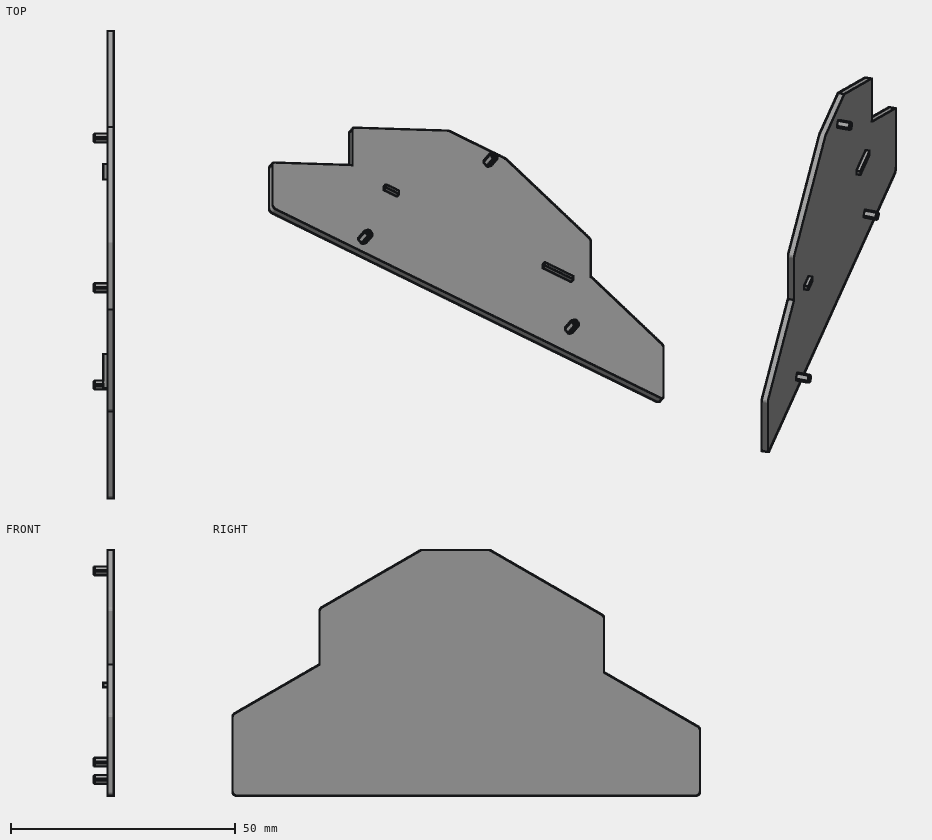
import cadquery as cq
import math

width = 104.0
height = 54.7
thickness = 1.5
corner_radius = 1.0
roof_slope = math.tan(math.radians(30))

half_width = width / 2
left_top_y = 5.2
right_top_y = -10.0
left_step_y = 30.7
right_step_y = -32.7
left_step_base_z = 27.5
right_step_base_z = 29.2

pin_length = 3.0
pin_diagonal = 2.4
pin_edge_chamfer = 0.26
pin_tip_chamfer = 0.3
pin_centers = [(-5.1, 50.0), (28.2, 3.6), (-26.7, 7.5)]

tab_height = 0.9
tab_thickness = 1.0
tab_center_z = 24.6
tabs = [(20.7, 3.5), (-23.6, 7.6)]


def make_plate():
    left_step_top_z = height - (left_step_y - left_top_y) * roof_slope
    right_step_top_z = height - (right_top_y - right_step_y) * roof_slope
    left_side_z = left_step_base_z - (half_width - left_step_y) * roof_slope
    right_side_z = right_step_base_z - (half_width + right_step_y) * roof_slope
    sharp_corners = [
        (left_step_y, left_step_base_z),
        (right_step_y, right_step_base_z),
        (right_top_y, height),
    ]
    outline = [
        (half_width, 0),
        (half_width, left_side_z),
        sharp_corners[0],
        (left_step_y, left_step_top_z),
        (left_top_y, height),
        sharp_corners[2],
        (right_step_y, right_step_top_z),
        sharp_corners[1],
        (-half_width, right_side_z),
        (-half_width, 0),
    ]
    plate = cq.Workplane("YZ").polyline(outline).close().extrude(thickness)
    rounded_edges = plate.edges("|X")
    for y, z in sharp_corners:
        sharp_edge = cq.selectors.NearestToPointSelector((thickness / 2, y, z))
        rounded_edges = rounded_edges.edges(cq.selectors.InverseSelector(sharp_edge))
    return rounded_edges.fillet(corner_radius)


def make_pin(y, z):
    return (
        cq.Workplane("YZ", origin=(thickness / 2, y, z))
        .polygon(4, pin_diagonal)
        .extrude(-(pin_length + thickness / 2))
        .edges("|X")
        .chamfer(pin_edge_chamfer)
        .faces("<X")
        .chamfer(pin_tip_chamfer)
    )


def make_tab(y, length):
    return (
        cq.Workplane("YZ", origin=(thickness / 2, y, tab_center_z))
        .rect(length, tab_thickness)
        .extrude(-(tab_height + thickness / 2))
    )


result = make_plate()
for pin_y, pin_z in pin_centers:
    result = result.union(make_pin(pin_y, pin_z))
for tab_y, tab_length in tabs:
    result = result.union(make_tab(tab_y, tab_length))